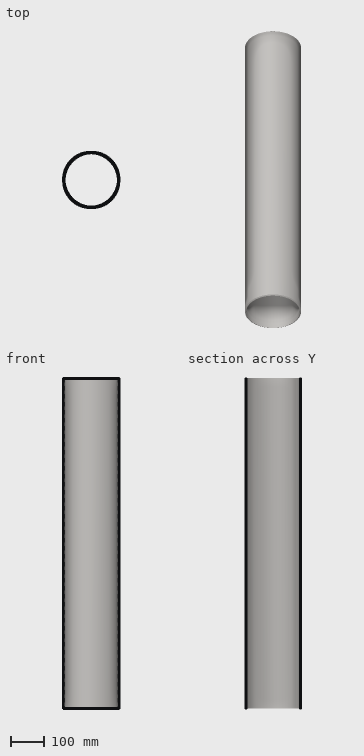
import cadquery as cq
import math

OUTER_DIAMETER = 170.0
INNER_DIAMETER = 162.0
LENGTH = 1000.0
END_LAND = 0.8
BEVEL_ANGLE = 37.5

OUTER_RADIUS = OUTER_DIAMETER / 2
INNER_RADIUS = INNER_DIAMETER / 2
LAND_RADIUS = INNER_RADIUS + END_LAND
BEVEL_HEIGHT = (OUTER_RADIUS - LAND_RADIUS) * math.tan(math.radians(BEVEL_ANGLE))


def make_beveled_tube():
    """Open tube standing on the XY plane, with both ends beveled on the outside."""
    wall_section = [
        (INNER_RADIUS, 0),
        (LAND_RADIUS, 0),
        (OUTER_RADIUS, BEVEL_HEIGHT),
        (OUTER_RADIUS, LENGTH - BEVEL_HEIGHT),
        (LAND_RADIUS, LENGTH),
        (INNER_RADIUS, LENGTH),
    ]
    profile = cq.Workplane("YZ").polyline(wall_section).close()
    return profile.revolve(360, (0, 0, 0), (0, 1, 0))


result = make_beveled_tube()